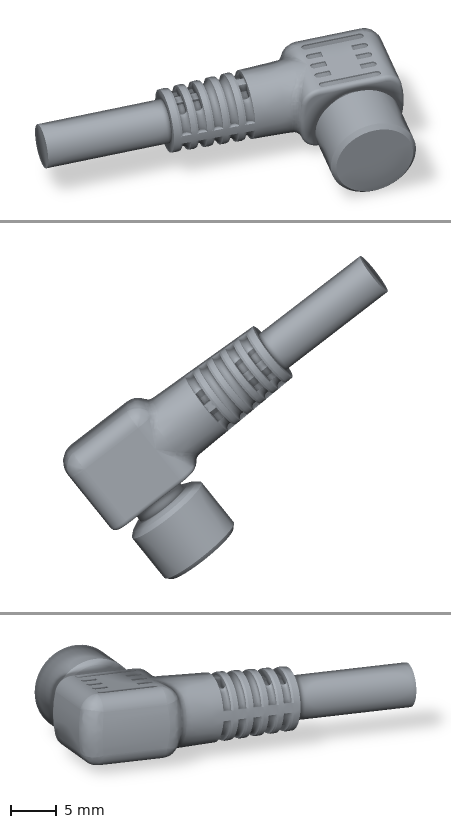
import cadquery as cq
import math


HOUSING_BACK = -5.3
HOUSING_FRONT = 4.68
HOUSING_HALF_LENGTH = 5.95
HOUSING_HALF_HEIGHT = 4.05
DOME_RADIUS = 11.2
HOUSING_FILLET = 2.0
FRONT_FILLET = 0.48
DOME_DROP = DOME_RADIUS - math.sqrt(DOME_RADIUS**2 - HOUSING_HALF_HEIGHT**2)

SLOT_WIDTH = 0.8
SLOT_DEPTH = 0.2
SLOT_PITCH = 1.6
SLOT_COUNT = 5
FIRST_SLOT_X = -2.7
SLOT_OUTER_Y = 3.5
SLOT_INNER_Y = 1.7

TAPER_START = -5.3
SLEEVE_END = -20.0
NECK_RADIUS = HOUSING_HALF_HEIGHT
SLEEVE_END_RADIUS = 3.5
NECK_BLEND = 1.0
SEAM_TOLERANCE = 0.008

GROOVE_COUNT = 5
FIRST_GROOVE_Y = -10.85
GROOVE_PITCH = 1.8
GROOVE_WIDTH = 0.95
GROOVE_DEPTH = 0.5
HOUSING_SIDE_FILLET = 0.5
CABLE_SIDE_FILLET = 0.3
RING_CHAMFER_LENGTH = 0.25
RING_CHAMFER_DROP = 0.08
BLADE_THICKNESS = 1.08

WINDOWS = [(0, 2.15, 3.45), (3, 2.0, 2.7), (4, 2.0, 2.7)]
WINDOW_WIDTH = 4.0
RIB_WIDTH = 0.95

CABLE_RADIUS = 4.9 / 2
CABLE_END = HOUSING_HALF_LENGTH - 39.97
STUB_RADIUS = 6.0 / 2

NUT_START = 5.85
NUT_END = 12.87
NUT_RADIUS = 9.7 / 2
REAR_FACE_RADIUS = 6.95 / 2
REAR_CONE_END = 6.25
REAR_CONE_RADIUS = 4.3
REAR_CHAMFER_END = 6.7
FRONT_CHAMFER = 0.48


def sleeve_radius(y):
    """Outer radius of the neck and the tapered sleeve at the given Y."""
    if y > TAPER_START:
        return NECK_RADIUS
    fraction = (TAPER_START - y) / (TAPER_START - SLEEVE_END)
    return NECK_RADIUS + fraction * (SLEEVE_END_RADIUS - NECK_RADIUS)


def box(x_range, y_range, z_range):
    """Box between the given limits."""
    size = [high - low for low, high in (x_range, y_range, z_range)]
    corner = (x_range[0], y_range[0], z_range[0])
    return cq.Workplane("XY").box(*size, centered=False).translate(corner)


def cylinder_along_y(radius, y_start, y_end):
    """Cylinder on the cable axis."""
    return cq.Workplane("XZ", origin=(0, y_start, 0)).circle(radius).extrude(y_start - y_end)


def make_housing():
    """Block with a domed back and domed ends, rounded everywhere, least on its front face."""
    half_height = HOUSING_HALF_HEIGHT
    end_edge = HOUSING_HALF_LENGTH - DOME_DROP
    back_edge = HOUSING_BACK + DOME_DROP

    side_to_side = (
        cq.Workplane("YZ", origin=(HOUSING_BACK, 0, 0))
        .moveTo(-end_edge, half_height)
        .lineTo(end_edge, half_height)
        .threePointArc((HOUSING_HALF_LENGTH, 0), (end_edge, -half_height))
        .lineTo(-end_edge, -half_height)
        .threePointArc((-HOUSING_HALF_LENGTH, 0), (-end_edge, half_height))
        .close()
        .extrude(HOUSING_FRONT - HOUSING_BACK)
    )
    back_to_front = (
        cq.Workplane("XZ")
        .moveTo(back_edge, half_height)
        .lineTo(HOUSING_FRONT, half_height)
        .lineTo(HOUSING_FRONT, -half_height)
        .lineTo(back_edge, -half_height)
        .threePointArc((HOUSING_BACK, 0), (back_edge, half_height))
        .close()
        .extrude(HOUSING_HALF_LENGTH, both=True)
    )
    block = side_to_side.intersect(back_to_front)
    block = block.edges("not(>X)").fillet(HOUSING_FILLET)
    return block.faces(">X").edges().fillet(FRONT_FILLET)


def make_neck():
    """Short cylinder followed by the tapered sleeve, without grooves."""
    return (
        cq.Workplane("XY")
        .moveTo(0, 0)
        .lineTo(NECK_RADIUS, 0)
        .lineTo(NECK_RADIUS, TAPER_START)
        .lineTo(SLEEVE_END_RADIUS, SLEEVE_END)
        .lineTo(0, SLEEVE_END)
        .close()
        .revolve(360, (0, 0, 0), (0, 1, 0))
    )


def is_neck_seam(edge):
    """True for an edge where the neck comes out of the housing."""
    if edge.BoundingBox().ymin < -HOUSING_HALF_LENGTH - SEAM_TOLERANCE:
        return False
    points = [edge.positionAt(place) for place in (0.1, 0.5, 0.9)]
    on_neck = all(
        abs(math.hypot(point.x, point.z) - sleeve_radius(point.y)) < SEAM_TOLERANCE for point in points
    )
    heights = [point.y for point in points]
    is_ring = max(heights) - min(heights) < SEAM_TOLERANCE / 20
    return on_neck and not is_ring


def make_shell():
    """Housing and neck in one, with a blend between them."""
    shell = make_housing().union(make_neck())
    seam = [edge for edge in shell.edges().vals() if is_neck_seam(edge)]
    return shell.newObject(seam).fillet(NECK_BLEND)


def groove_start(index):
    """Y of the wall of a groove that lies nearest the housing."""
    return FIRST_GROOVE_Y - index * GROOVE_PITCH


def make_groove(start):
    """Ring to remove for one groove: round floor, and a chamfer on the ring that follows."""
    end = start - GROOVE_WIDTH
    chamfer_end = end - RING_CHAMFER_LENGTH
    outside = NECK_RADIUS + 0.4
    floor = sleeve_radius((start + end) / 2) - GROOVE_DEPTH
    ring = (
        cq.Workplane("XY")
        .moveTo(outside, start)
        .lineTo(floor + HOUSING_SIDE_FILLET, start)
        .radiusArc((floor, start - HOUSING_SIDE_FILLET), -HOUSING_SIDE_FILLET)
        .lineTo(floor, end + CABLE_SIDE_FILLET)
        .radiusArc((floor + CABLE_SIDE_FILLET, end), -CABLE_SIDE_FILLET)
        .lineTo(sleeve_radius(end) - RING_CHAMFER_DROP, end)
        .lineTo(sleeve_radius(chamfer_end), chamfer_end)
        .lineTo(outside, chamfer_end)
        .close()
        .revolve(360, (0, 0, 0), (0, 1, 0))
    )
    blades = box(
        (-outside, outside),
        (chamfer_end, start),
        (-BLADE_THICKNESS / 2, BLADE_THICKNESS / 2),
    )
    return ring.cut(blades)


def cut_window(body, start, floor, rib_height):
    """Open a groove down to flat floors above and below the cable, leaving a rib in the middle."""
    y_range = (start - GROOVE_WIDTH, start)
    half_window = WINDOW_WIDTH / 2
    half_rib = RIB_WIDTH / 2
    for low, high, rib_low, rib_high in (
        (floor, NECK_RADIUS, 0, rib_height),
        (-NECK_RADIUS, -floor, -rib_height, 0),
    ):
        body = body.cut(box((-half_window, half_window), y_range, (low, high)))
        body = body.union(box((-half_rib, half_rib), y_range, (rib_low, rib_high)))
    return body


def make_slots():
    """Grip slots: full-length ones at both ends of the row, split ones between them."""
    row = None
    for index in range(SLOT_COUNT):
        x = FIRST_SLOT_X + index * SLOT_PITCH
        slot = (
            cq.Workplane("XY", origin=(x, 0, HOUSING_HALF_HEIGHT - SLOT_DEPTH))
            .slot2D(2 * SLOT_OUTER_Y, SLOT_WIDTH, 90)
            .extrude(2 * SLOT_DEPTH)
        )
        if 0 < index < SLOT_COUNT - 1:
            slot = slot.cut(
                box(
                    (x - SLOT_WIDTH, x + SLOT_WIDTH),
                    (-SLOT_INNER_Y, SLOT_INNER_Y),
                    (0, 2 * HOUSING_HALF_HEIGHT),
                )
            )
        row = slot if row is None else row.add(slot)
    return row


def make_connector():
    """Housing, strain relief, cable and plug stub, moulded as one piece."""
    body = make_shell()
    for index in range(GROOVE_COUNT):
        body = body.cut(make_groove(groove_start(index)))
    for index, floor, rib_height in WINDOWS:
        body = cut_window(body, groove_start(index), floor, rib_height)
    body = body.union(cylinder_along_y(CABLE_RADIUS, 0, CABLE_END))
    stub = cq.Workplane("YZ").circle(STUB_RADIUS).extrude(NUT_END)
    return body.union(stub).cut(make_slots())


def make_nut():
    """Coupling nut around the stub, with a narrow flat rear face and two rear cones."""
    return (
        cq.Workplane("XY")
        .moveTo(NUT_START, REAR_FACE_RADIUS)
        .lineTo(REAR_CONE_END, REAR_CONE_RADIUS)
        .lineTo(REAR_CHAMFER_END, NUT_RADIUS)
        .lineTo(NUT_END - FRONT_CHAMFER, NUT_RADIUS)
        .lineTo(NUT_END, NUT_RADIUS - FRONT_CHAMFER)
        .lineTo(NUT_END, STUB_RADIUS)
        .lineTo(NUT_START, STUB_RADIUS)
        .close()
        .revolve(360, (0, 0, 0), (1, 0, 0))
    )


connector = make_connector()
nut = make_nut()
result = cq.Compound.makeCompound([connector.val(), nut.val()])